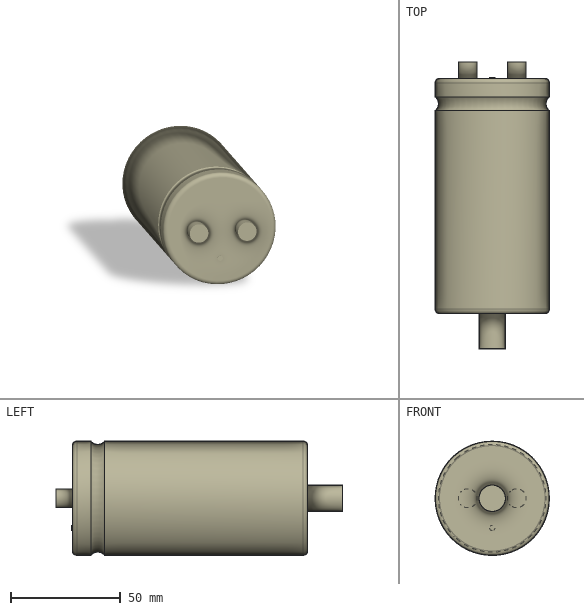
import cadquery as cq


can_diameter = 52.0
can_length = 107.0
can_edge_radius = 2.0

groove_width = 6.3
groove_depth = 1.5
groove_offset = 11.5

stud_diameter = 12.0
stud_length = 16.0

terminal_diameter = 8.6
terminal_length = 7.6
terminal_spacing = 22.3

button_diameter = 2.4
button_height = 0.4
button_drop = 13.5

can_radius = can_diameter / 2
groove_center_y = can_length - groove_offset


def cylinder_along_y(diameter, start_y, length, x=0.0, z=0.0):
    """Solid cylinder running towards +Y from start_y."""
    return cq.Workplane(
        cq.Solid.makeCylinder(
            diameter / 2, length, cq.Vector(x, start_y, z), cq.Vector(0, 1, 0)
        )
    )


def make_can():
    """Can with rounded end edges and an arc groove, revolved about Y."""
    blank = cylinder_along_y(can_diameter, 0, can_length)
    rounded = blank.faces("<Y or >Y").edges().fillet(can_edge_radius)
    return rounded.cut(make_groove())


def make_groove():
    """Ring whose inner face is a circular arc bulging towards the axis."""
    half_width = groove_width / 2
    outer_radius = can_radius + groove_depth
    return (
        cq.Workplane("XY")
        .moveTo(outer_radius, groove_center_y - half_width)
        .lineTo(can_radius, groove_center_y - half_width)
        .threePointArc(
            (can_radius - groove_depth, groove_center_y),
            (can_radius, groove_center_y + half_width),
        )
        .lineTo(outer_radius, groove_center_y + half_width)
        .close()
        .revolve(360, (0, 0, 0), (0, 1, 0))
    )


def make_stud():
    """Mounting stud, started inside the can so the two bodies merge."""
    overlap = can_edge_radius
    return cylinder_along_y(stud_diameter, -stud_length, stud_length + overlap)


def make_face_boss(diameter, height, x, z):
    """Round boss standing on the terminal face, rooted inside the can."""
    overlap = can_edge_radius
    return cylinder_along_y(diameter, can_length - overlap, height + overlap, x, z)


result = make_can().union(make_stud())
for side in (-1, 1):
    terminal_x = side * terminal_spacing / 2
    result = result.union(make_face_boss(terminal_diameter, terminal_length, terminal_x, 0))
result = result.union(make_face_boss(button_diameter, button_height, 0, -button_drop))